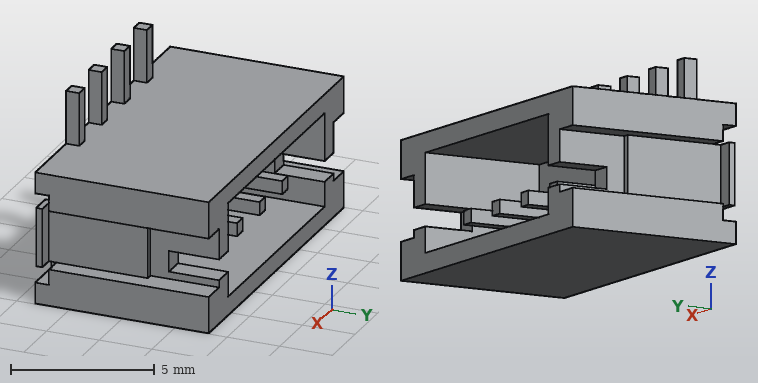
import cadquery as cq

length = 11.95
depth = 6.6
total_height = 7.0
pin_rise = 2.01
height = total_height - pin_rise
half_length = length / 2

channel_depth = 0.91
channel_bottom = 1.39
channel_height = height - 2 * channel_bottom

recess_width = 1.42
recess_depth = 0.53
recess_bottom = 0.8
recess_height = height - 2 * recess_bottom

end_wall = 0.8
cavity_wall = 0.72
cavity_depth = 4.6
cavity_length = length - 2 * (channel_depth + end_wall)
cavity_height = height - 2 * cavity_wall
slot_depth = 1.9
slot_bottom = 1.66
slot_top = 2.45

pin_count = 4
pin_pitch = 2.0
pin_size = 0.5
pin_top = 2.14
pin_tip_setback = 0.96

tab_thickness = 0.24
tab_length = 3.99
tab_inset = 0.08


def box(x, y, z, size_x, size_y, size_z):
    """Box with its lowest corner at x, y, z."""
    return cq.Workplane("XY").box(size_x, size_y, size_z, centered=False).translate((x, y, z))


def make_housing():
    body = box(-half_length, 0, 0, length, depth, height)
    channel = box(-half_length, 0, channel_bottom, channel_depth, depth, channel_height)
    recess = box(-half_length, 0, recess_bottom, recess_width, recess_depth, recess_height)
    for end_cut in (channel, recess):
        body = body.cut(end_cut).cut(end_cut.mirror("YZ"))
    cavity = box(
        -cavity_length / 2, depth - cavity_depth, cavity_wall,
        cavity_length, cavity_depth, cavity_height,
    )
    slot = box(-half_length, depth - slot_depth, slot_bottom, length, slot_depth, slot_top - slot_bottom)
    return body.cut(cavity).cut(slot)


def make_pin(center_x):
    """Upright leg at the front joined to a contact reaching into the cavity."""
    left = center_x - pin_size / 2
    bottom = pin_top - pin_size
    leg = box(left, 0, bottom, pin_size, pin_size, total_height - bottom)
    contact = box(left, 0, bottom, pin_size, depth - pin_tip_setback, pin_size)
    return leg.union(contact)


def make_left_tab():
    """Strap lying on the channel wall, with a foot turned outward at the front."""
    inner_x = -half_length + channel_depth
    foot_width = channel_depth - tab_inset
    strap = box(inner_x - tab_thickness, 0, channel_bottom, tab_thickness, tab_length, channel_height)
    foot = box(inner_x - foot_width, 0, channel_bottom, foot_width, tab_thickness, channel_height)
    return strap.union(foot)


result = make_housing()
for index in range(pin_count):
    result = result.union(make_pin((index - (pin_count - 1) / 2) * pin_pitch))

left_tab = make_left_tab()
result = result.union(left_tab).union(left_tab.mirror("YZ"))